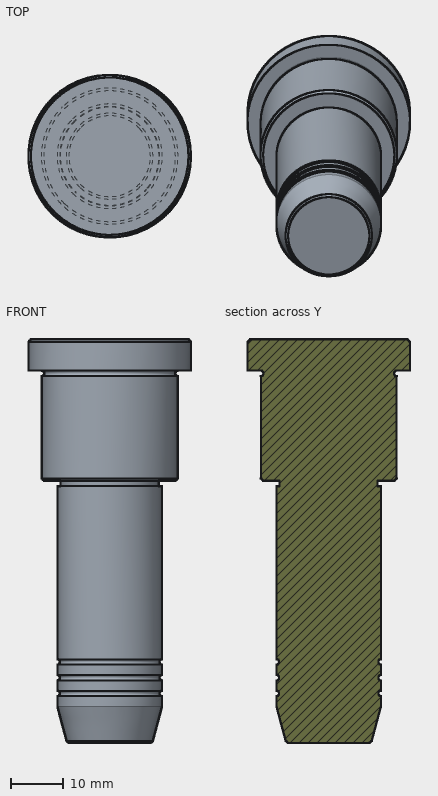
import cadquery as cq
import math

total_length = 77.0
head_height = 6.0
body_bottom = 50.0
tip_height = 7.0

head_radius = 31.0 / 2
body_radius = 26.0 / 2
shank_radius = 20.0 / 2
tip_angle = 15.0

edge_chamfer = 0.5
tip_chamfer = 0.4
neck_depth = 0.6
relief_width = 1.0
head_relief_depth = 0.5

groove_radius = 0.5
groove_count = 3
first_groove_height = 9.5
groove_pitch = 3.0

head_bottom = total_length - head_height
head_relief_middle = head_bottom - relief_width / 2
head_relief_radius = body_radius - head_relief_depth
neck_radius = shank_radius - neck_depth
tip_radius = shank_radius - tip_height * math.tan(math.radians(tip_angle))


def make_pin():
    """Revolve the stepped pin with its reliefs and tapered tip."""
    profile = (
        cq.Workplane("XZ")
        .polyline([
            (0, 0),
            (tip_radius, 0),
            (shank_radius, tip_height),
            (shank_radius, body_bottom - relief_width),
            (neck_radius, body_bottom - relief_width),
            (neck_radius, body_bottom),
            (body_radius - edge_chamfer, body_bottom),
            (body_radius, body_bottom + edge_chamfer),
            (body_radius, head_bottom - relief_width),
        ])
        .threePointArc(
            (head_relief_radius, head_relief_middle),
            (body_radius, head_bottom),
        )
        .lineTo(head_radius, head_bottom)
        .lineTo(head_radius, total_length - edge_chamfer)
        .lineTo(head_radius - edge_chamfer, total_length)
        .lineTo(0, total_length)
        .close()
    )
    pin = profile.revolve(360, (0, 0, 0), (0, 1, 0))
    return pin.faces("<Z").edges().chamfer(tip_chamfer)


def make_groove(height):
    """Ring of circular section, centred on the shank surface at the given height."""
    return (
        cq.Workplane("XZ")
        .center(shank_radius, height)
        .circle(groove_radius)
        .revolve(360, (-shank_radius, 0, 0), (-shank_radius, 1, 0))
    )


result = make_pin()
for index in range(groove_count):
    result = result.cut(make_groove(first_groove_height + index * groove_pitch))